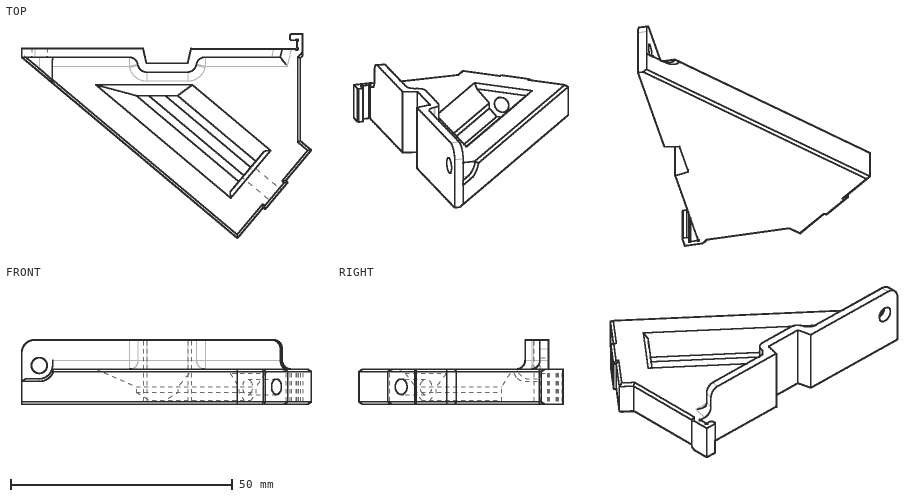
import cadquery as cq
import math

plate_height = 8.0
wall_top = 14.62
wall_thickness = 2.0
edge_bevel = 0.6

front_angle = 40.0
front_length = 63.65
end_width = 26.0
pad_width = 8.0
pad_height = 0.6
side_x = 63.0

hook_outer_x = 63.5
hook_inner_x = 62.2
hook_lip_x = 60.6
hook_top_y = 3.246
hook_lip_thickness = 1.45
hook_lip_bevel = 0.3
hook_relief_radius = 0.25
hook_shoulder_y = -1.7

right_wall_setback = 0.15
wall_left_radius = 3.0
wall_right_radius = 2.0
wall_end_x = 58.9
wall_slant = 13.0
bend_radius = 2.0
base_fillet = 2.0
notch_left = 27.45
notch_right = 38.27
notch_depth = 3.37

screw_diameter = 3.5
wall_screw_x = 4.0
wall_screw_z = 8.8
screw_head_radius = 3.0
end_screw_z = 4.0

pocket_margin = 6.0
pocket_end_gap = 7.0
pocket_slope_bottom_z = 4.0
pocket_groove_top_z = 2.75
pocket_floor_z = 1.0
pocket_floor_width = 2.4
pocket_end_bevel = 1.0
pocket_rear_mouth_y = -8.25
pocket_rear_foot_y = -10.7

tolerance = 0.01
overrun = 10.0
left_overrun = 1.0
front_cos = math.cos(math.radians(front_angle))
front_sin = math.sin(math.radians(front_angle))
slant_tan = math.tan(math.radians(wall_slant))
end_middle = end_width / 2
notch_lean = notch_depth * slant_tan


def front_point(along, across):
    """Plan position given by distance along and distance behind the front edge."""
    x = along * front_cos + across * front_sin
    y = -wall_thickness - along * front_sin + across * front_cos
    return (x, y)


def to_front_edge(body):
    """Move a body built with X along the front edge into its place on the part."""
    return body.rotate((0, 0, 0), (0, 0, 1), -front_angle).translate((0, -wall_thickness, 0))


def plate_blank():
    pad_start = end_middle - pad_width / 2
    pad_end = end_middle + pad_width / 2
    pad_face = front_length + pad_height
    corner_x, corner_y = front_point(front_length, end_width)
    side_start_y = corner_y + (corner_x - side_x) * math.tan(math.radians(front_angle))
    shoulder = hook_outer_x - side_x
    lip_bottom_y = hook_top_y - hook_lip_thickness
    outline = [
        (-left_overrun, 0),
        front_point(-left_overrun / front_cos, 0),
        front_point(front_length, 0),
        front_point(front_length, pad_start),
        front_point(pad_face, pad_start),
        front_point(pad_face, pad_end),
        front_point(front_length, pad_end),
        (corner_x, corner_y),
        (side_x, side_start_y),
        (side_x, hook_shoulder_y - shoulder),
        (hook_outer_x, hook_shoulder_y),
        (hook_outer_x, hook_top_y),
        (hook_lip_x + hook_lip_bevel, hook_top_y),
        (hook_lip_x, hook_top_y - hook_lip_bevel),
        (hook_lip_x, lip_bottom_y + hook_lip_bevel),
        (hook_lip_x + hook_lip_bevel, lip_bottom_y),
        (hook_inner_x, lip_bottom_y),
        (hook_inner_x, -right_wall_setback),
        (notch_right, -right_wall_setback),
        (notch_right, 0),
    ]
    reliefs = (
        cq.Workplane("XY")
        .pushPoints([(hook_inner_x, lip_bottom_y), (hook_inner_x, -right_wall_setback)])
        .circle(hook_relief_radius)
        .extrude(plate_height)
    )
    return cq.Workplane("XY").polyline(outline).close().extrude(plate_height).cut(reliefs)


def notch():
    return (
        cq.Workplane("XY")
        .polyline([
            (notch_left, 0),
            (notch_left + notch_lean, -notch_depth),
            (notch_right - notch_lean, -notch_depth),
            (notch_right, 0),
        ])
        .close()
        .extrude(wall_top)
    )


def head_clearance():
    """Room for the screw head: a half round with flat floor, open to the left and top."""
    box_left = -overrun
    right = wall_screw_x + screw_head_radius
    return (
        cq.Workplane("XZ")
        .moveTo(box_left, wall_screw_z - screw_head_radius)
        .lineTo(wall_screw_x, wall_screw_z - screw_head_radius)
        .radiusArc((right, wall_screw_z), -screw_head_radius)
        .lineTo(right, wall_top)
        .lineTo(box_left, wall_top)
        .close()
        .extrude(front_length)
    )


def is_beveled_rim(edge):
    """Top and bottom rims of the front, end and right sides, including the lowered front rim."""
    start = edge.startPoint()
    finish = edge.endPoint()
    middle = edge.Center()
    if abs(start.z - finish.z) > plate_height / 2:
        return False
    along_front = all(
        abs(p.x * front_sin + (p.y + wall_thickness) * front_cos) < tolerance for p in (start, finish)
    )
    along_right = (
        middle.x > front_length * front_cos
        and middle.y < hook_shoulder_y
        and abs(start.z - finish.z) < tolerance
    )
    return along_front or along_right


def plate():
    body = plate_blank().cut(notch()).cut(head_clearance())
    body = body.edges().filter(is_beveled_rim).chamfer(edge_bevel)
    trim = cq.Workplane("XY").box(overrun, overrun, wall_top * 2).translate((-overrun / 2, 0, 0))
    return body.cut(trim)


def wall_end_cutter():
    """Everything right of the wall's end: rounded top, flared foot, leaning in plan."""
    foot_end = wall_end_x + base_fillet
    far_x = foot_end + overrun
    top_start = wall_end_x - wall_right_radius
    profile = (
        cq.Workplane("XZ")
        .moveTo(top_start, wall_top)
        .radiusArc((wall_end_x, wall_top - wall_right_radius), wall_right_radius)
        .lineTo(wall_end_x, plate_height + base_fillet)
        .radiusArc((foot_end, plate_height), -base_fillet)
        .lineTo(far_x, plate_height)
        .lineTo(far_x, wall_top)
        .close()
    )
    leaning_path = cq.Vector(-overrun * slant_tan, -overrun, 0)
    face = cq.Face.makeFromWires(profile.val())
    return cq.Workplane(cq.Solid.extrudeLinear(face, leaning_path))


def wall():
    """Upright wall that jogs around the notch, blended into the top of the plate."""
    bend_offset = wall_thickness * math.tan(math.radians((90 - wall_slant) / 2))
    front_y = -wall_thickness
    jog_y = -notch_depth - wall_thickness
    blank_end_x = wall_end_x + base_fillet
    bend_left = notch_left - bend_offset
    bend_right = notch_right + bend_offset
    jogged = (
        cq.Workplane("XY")
        .polyline([
            (0, 0),
            (0, front_y),
            (bend_left, front_y),
            (bend_left + notch_lean, jog_y),
            (bend_right - notch_lean, jog_y),
            (bend_right, front_y),
            (blank_end_x, front_y),
            (blank_end_x, -right_wall_setback),
            (notch_right, -right_wall_setback),
            (notch_right, 0),
        ])
        .close()
        .extrude(wall_top)
    )
    bends = cq.selectors.BoxSelector(
        (bend_left - tolerance, jog_y - tolerance, 0),
        (bend_right + tolerance, front_y + tolerance, wall_top),
    )
    jogged = jogged.edges("|Z").edges(bends).fillet(bend_radius)
    jogged = jogged.edges("|Y and <X and >Z").fillet(wall_left_radius)

    slab = cq.Workplane("XY").box(
        blank_end_x, overrun, plate_height, centered=False
    ).translate((0, -overrun, 0))
    blended = jogged.union(slab)
    seam = cq.selectors.BoxSelector(
        (0, jog_y - tolerance, plate_height - tolerance),
        (blank_end_x, front_y + tolerance, plate_height + tolerance),
    )
    blended = blended.edges(seam).fillet(base_fillet)
    above_plate = cq.Workplane("XY").box(
        blank_end_x, overrun, wall_top, centered=False
    ).translate((0, -overrun, plate_height))
    upper = blended.intersect(above_plate).cut(notch()).cut(wall_end_cutter())

    front_clearance = head_clearance().translate((0, -wall_thickness, 0))
    left_foot_bottom = plate_height / 2
    left_foot = cq.Workplane("XY").box(
        wall_screw_x + screw_head_radius,
        wall_thickness,
        plate_height - left_foot_bottom,
        centered=False,
    ).translate((0, -wall_thickness, left_foot_bottom))
    return upper.cut(front_clearance).union(left_foot)


def pocket():
    """Sloped pocket with a narrow groove along its floor, parallel to the front edge."""
    def mirrored_section(right_half):
        points = [(end_middle + w, z) for w, z in right_half]
        points += [(end_middle - w, z) for w, z in reversed(right_half)]
        return points

    mouth_half = end_middle - pocket_margin
    groove_half = mouth_half - (plate_height - pocket_slope_bottom_z)
    section = mirrored_section([
        (pocket_floor_width / 2, pocket_floor_z),
        (groove_half, pocket_groove_top_z),
        (groove_half, pocket_slope_bottom_z),
        (mouth_half, plate_height),
    ])
    channel = cq.Workplane("YZ").polyline(section).close().extrude(front_length)

    mouth_end = front_length - pocket_end_gap
    end_wall = mouth_end - pocket_end_bevel
    end_profile = (
        cq.Workplane("XZ")
        .polyline([
            (0, 0),
            (end_wall, 0),
            (end_wall, plate_height - pocket_end_bevel),
            (mouth_end, plate_height),
            (0, plate_height),
        ])
        .close()
        .extrude(-end_width)
    )
    rear_profile = (
        cq.Workplane("YZ")
        .polyline([
            (pocket_rear_foot_y, 0),
            (pocket_rear_foot_y, pocket_slope_bottom_z),
            (pocket_rear_mouth_y, plate_height),
            (-front_length, plate_height),
            (-front_length, 0),
        ])
        .close()
        .extrude(side_x)
    )
    return to_front_edge(channel.intersect(end_profile)).intersect(rear_profile)


def wall_screw_hole():
    return (
        cq.Workplane("XZ")
        .center(wall_screw_x, wall_screw_z)
        .circle(screw_diameter / 2)
        .extrude(wall_thickness)
    )


def end_screw_hole():
    """Hole from the end pad through to the pocket."""
    start = front_length - pocket_end_gap - pocket_end_bevel
    hole = (
        cq.Workplane("YZ", origin=(start, 0, 0))
        .center(end_middle, end_screw_z)
        .circle(screw_diameter / 2)
        .extrude(front_length + pad_height - start)
    )
    return to_front_edge(hole)


result = (
    plate()
    .union(wall())
    .cut(pocket())
    .cut(wall_screw_hole())
    .cut(end_screw_hole())
)